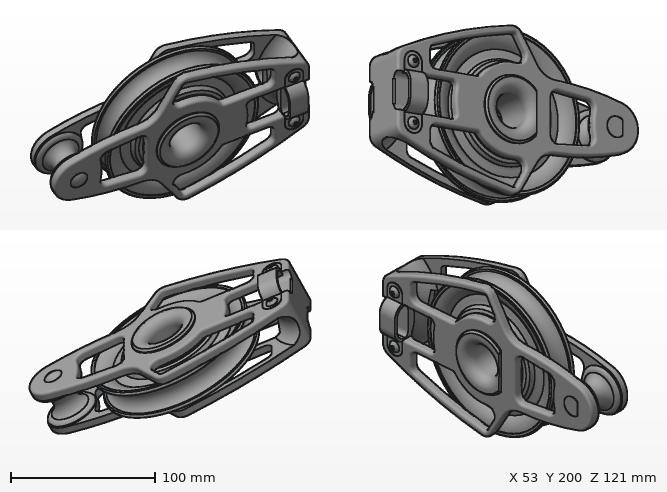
import cadquery as cq
import math


cheek_outer = 18.5
cheek_thickness = 6.4
cheek_inner = cheek_outer - cheek_thickness
cheek_edge_round = 2.0

head_y = 96.0
waist_round = 19.0
apex_round = 9.0
head_corner_round = 9.0
tail_y = -104.0
tail_radius = 19.0
roller_y = tail_y + tail_radius

hub_radius = 34.2
window_half_height = 14.0
window_head_y = 75.8
notch_floor_x = 13.4
notch_corner_round = 5.0
notch_lip_chamfer = 1.2

sheave_radius = 59.8
sheave_half_width = 11.4
groove_half_width = 8.5
groove_mouth_radius = 57.2
groove_root_radius = 51.2
core_radius = 31.0

eyelet_bore = 25.0
eyelet_flange_radius = 24.4
eyelet_flare_radius = 20.0
eyelet_face_x = 21.0
eyelet_edge_round = 1.5
eyelet_flat_y = -17.5

roller_mouth_radius = 14.2
roller_root_radius = 9.2

saddle_root_y = 77.8
saddle_root_radius = 36.0
saddle_edge_radius = 44.8
saddle_axis_y = saddle_root_y + saddle_root_radius

strap_y = 83.4
strap_width = 14.4
overall_width = 53.0
strap_outer_x = overall_width / 2
strap_half_height = 15.8
strap_thickness = 2.4
strap_bend = 10.8
strap_root_x = 14.4
strap_foot_height = 0.3

screw_z = 22.2
screw_diameter = 9.2
screw_head_height = 3.0
socket_size = 3.0
socket_depth = 1.2

pin_head_radius = 6.5
pin_head_height = 2.5

pin_tail_radius = 7.5
pin_tail_flat_y = -90.2
pin_tail_recess = 0.2


def yz_plate(sketch, x_start, x_end):
    """Extrude a closed YZ outline between two X positions."""
    return sketch.extrude(x_end - x_start).translate((x_start, 0, 0))


def turned(profile):
    """Revolve a profile drawn as (x, radius) about the X axis."""
    return profile.close().revolve(360, (0, 0, 0), (1, 0, 0))


def dome_x(radius, height, x, y, z):
    """Spherical cap on the plane at x, bulging toward +X."""
    sphere_radius = (radius**2 + height**2) / (2 * height)
    rise = height / 2
    rise_radius = math.sqrt(sphere_radius**2 - (sphere_radius - height + rise) ** 2)
    profile = cq.Workplane("XY").moveTo(-cheek_thickness / 2, 0).lineTo(-cheek_thickness / 2, radius)
    profile = profile.lineTo(0, radius).threePointArc((rise, rise_radius), (height, 0))
    return turned(profile).translate((x, y, z))


def round_corner(body, y, z, radius):
    """Round the X-running edge closest to a YZ position."""
    middle_x = body.val().Center().x
    edge = body.edges("|X").edges(cq.selectors.NearestToPointSelector((middle_x, y, z)))
    return edge.fillet(radius)


def outline_body(x_start, x_end):
    """Solid bounded by the cheek outline between two X positions."""
    waist = (-25.5, 26.4)
    apex = (-4.4, 61.4)
    head_corner = (head_y, 30.0)
    tail_turn = math.radians(16)
    tail_half_turn = math.pi / 4 - tail_turn / 2
    tail_mid = (
        roller_y - tail_radius * math.cos(tail_half_turn),
        tail_radius * math.sin(tail_half_turn),
    )
    tail_join = (
        roller_y - tail_radius * math.sin(tail_turn),
        tail_radius * math.cos(tail_turn),
    )
    upper = cq.Workplane("YZ").moveTo(tail_y, 0).threePointArc(tail_mid, tail_join)
    upper = upper.tangentArcPoint(waist, relative=False).lineTo(*apex)
    upper = upper.threePointArc((53.2, 47.4), head_corner).lineTo(head_y, 0).close()
    body = yz_plate(upper, x_start, x_end)
    corners = ((waist, waist_round), (apex, apex_round), (head_corner, head_corner_round))
    for (y, z), corner_round in corners:
        body = round_corner(body, y, z, corner_round)
    return body.union(body.mirror("XY")).clean()


def side_window():
    """Window between the upper rim and the hub, right through both cheeks."""
    low_z = 19.8
    hub_join_y = math.sqrt(hub_radius**2 - low_z**2)
    head_low = (68.4, low_z)
    head_high = (68.4, 36.0)
    rim_corner = (-2.4, 55.8)
    arm_corner = (-14.8, hub_radius)
    hub_corner = (hub_join_y, low_z)
    diagonal = hub_radius * math.sqrt(0.5)
    window = cq.Workplane("YZ").moveTo(*head_low).lineTo(*head_high)
    window = window.threePointArc((38.8, 46.0), rim_corner)
    window = window.lineTo(*arm_corner).lineTo(0, hub_radius)
    window = window.threePointArc((diagonal, diagonal), hub_corner).close()
    body = yz_plate(window, -cheek_outer, cheek_outer)
    corners = ((head_low, 5.5), (head_high, 5.0), (rim_corner, 3.0), (arm_corner, 6.0), (hub_corner, 4.0))
    for (y, z), corner_round in corners:
        body = round_corner(body, y, z, corner_round)
    return body


def head_window():
    """Window between the hub and the strap, bowed toward the head at its hub end."""
    hub_end_y = 45.5
    bow_y = 47.8
    corner_round = 4.0
    window = cq.Workplane("YZ").moveTo(window_head_y, -window_half_height)
    window = window.lineTo(window_head_y, window_half_height).lineTo(hub_end_y, window_half_height)
    window = window.threePointArc((bow_y, 0), (hub_end_y, -window_half_height)).close()
    body = yz_plate(window, -cheek_outer, cheek_outer)
    return body.edges("|X and <Y").fillet(corner_round)


def tail_window():
    """Tapered window between the hub and the roller, bowed toward the hub at its roller end."""
    hub_end = (-31.2, 19.8)
    roller_end = (-69.0, 15.8)
    bow_y = -66.4
    corner_round = 6.0
    window = cq.Workplane("YZ").moveTo(hub_end[0], -hub_end[1]).lineTo(*hub_end).lineTo(*roller_end)
    window = window.threePointArc((bow_y, 0), (roller_end[0], -roller_end[1])).close()
    body = yz_plate(window, -cheek_outer, cheek_outer)
    return body.edges("|X").fillet(corner_round)


all_windows = [side_window(), side_window().mirror("XY"), head_window(), tail_window()]


def cheek():
    """Cheek on the +X side, with its rim and windows rounded on the outer face."""
    blank = outline_body(cheek_inner, cheek_outer)
    plate = blank
    for window in all_windows:
        windowed = blank.cut(window).faces(">X").edges().fillet(cheek_edge_round)
        plate = plate.intersect(windowed)
    return plate


def strap_notch():
    """Shallow channel under the strap, open at the head end."""
    length = head_y - window_head_y + 2
    notch = cq.Workplane("XY").box(
        2 * (cheek_outer - notch_floor_x), length, 2 * window_half_height
    ).edges("|Y and <X").fillet(notch_corner_round)
    notch = notch.translate((cheek_outer, window_head_y + length / 2, 0))
    flat_half_height = window_half_height - notch_corner_round
    lip = cq.Workplane("XY").moveTo(notch_floor_x, head_y - notch_lip_chamfer)
    lip = lip.lineTo(notch_floor_x - notch_lip_chamfer, head_y).lineTo(notch_floor_x, head_y).close()
    return notch.union(lip.extrude(flat_half_height, both=True))


right_cheek = cheek().cut(strap_notch())
cheeks = right_cheek.union(right_cheek.mirror("YZ"))


def head_saddle():
    profile = cq.Workplane("XY").lineTo(-cheek_inner, 0).lineTo(-cheek_inner, saddle_edge_radius)
    profile = profile.threePointArc((0, saddle_root_radius), (cheek_inner, saddle_edge_radius))
    profile = profile.lineTo(cheek_inner, 0)
    spool = turned(profile).translate((0, saddle_axis_y, 0))
    saddle = spool.intersect(outline_body(-cheek_inner, cheek_inner))
    for window in all_windows:
        saddle = saddle.cut(window)
    return saddle


def sheave():
    hub_steps = [(10.8, 34.0), (9.8, 36.5), (6.5, 38.4), (6.0, 40.4), (5.5, 42.8), (5.0, 45.5)]
    dish_mid = (8.8, 50.0)
    dish_edge = (10.5, 56.8)
    lip_mid_x = (sheave_half_width + groove_half_width) / 2
    lip_crown = 1.0
    lip_shoulder = sheave_radius - lip_crown

    profile = cq.Workplane("XY").moveTo(-cheek_inner, 0).lineTo(-cheek_inner, core_radius)
    profile = profile.lineTo(-hub_steps[0][0], core_radius)
    for x, radius in hub_steps:
        profile = profile.lineTo(-x, radius)
    profile = profile.threePointArc((-dish_mid[0], dish_mid[1]), (-dish_edge[0], dish_edge[1]))
    profile = profile.lineTo(-sheave_half_width, dish_edge[1])
    profile = profile.lineTo(-sheave_half_width, lip_shoulder)
    profile = profile.threePointArc((-lip_mid_x, sheave_radius), (-groove_half_width, lip_shoulder))
    profile = profile.lineTo(-groove_half_width, groove_mouth_radius)
    profile = profile.threePointArc((0, groove_root_radius), (groove_half_width, groove_mouth_radius))
    profile = profile.lineTo(groove_half_width, lip_shoulder)
    profile = profile.threePointArc((lip_mid_x, sheave_radius), (sheave_half_width, lip_shoulder))
    profile = profile.lineTo(sheave_half_width, dish_edge[1])
    profile = profile.lineTo(*dish_edge).threePointArc(dish_mid, hub_steps[-1])
    for x, radius in reversed(hub_steps[:-1]):
        profile = profile.lineTo(x, radius)
    profile = profile.lineTo(hub_steps[0][0], core_radius).lineTo(cheek_inner, core_radius)
    return turned(profile.lineTo(cheek_inner, 0))


def eyelet_flange():
    shoulder = eyelet_face_x - eyelet_edge_round
    profile = cq.Workplane("XY").moveTo(cheek_inner, 0).lineTo(cheek_inner, eyelet_flange_radius)
    profile = profile.lineTo(shoulder, eyelet_flange_radius)
    profile = profile.lineTo(eyelet_face_x, eyelet_flange_radius - eyelet_edge_round)
    profile = profile.lineTo(eyelet_face_x, 0)
    return turned(profile)


def flared_bore():
    """Straight bore opening in a quarter-round flare at each end."""
    bore_radius = eyelet_bore / 2
    flare = eyelet_flare_radius - bore_radius
    throat_x = eyelet_face_x - flare
    diagonal = flare * math.sqrt(0.5)
    profile = cq.Workplane("XY").moveTo(-eyelet_face_x, 0).lineTo(-eyelet_face_x, eyelet_flare_radius)
    profile = profile.threePointArc(
        (-throat_x - diagonal, eyelet_flare_radius - diagonal), (-throat_x, bore_radius)
    )
    profile = profile.lineTo(throat_x, bore_radius)
    profile = profile.threePointArc(
        (throat_x + diagonal, eyelet_flare_radius - diagonal), (eyelet_face_x, eyelet_flare_radius)
    )
    return turned(profile.lineTo(eyelet_face_x, 0))


def flatted_eyelet():
    """The -X flange is trimmed to a flat on its tail side."""
    size = 2 * eyelet_flange_radius
    keep = cq.Workplane("XY").box(2 * size, size, size).translate((0, eyelet_flat_y + size / 2, 0))
    return eyelet_flange().mirror("YZ").intersect(keep)


def tail_roller():
    rim_x = cheek_inner - 1.0
    rim_radius = tail_radius - 0.4
    side_radius = rim_radius - 0.8
    shoulder_x = 9.4
    shoulder_radius = 17.0
    profile = cq.Workplane("XY").moveTo(-cheek_inner, 0).lineTo(-cheek_inner, side_radius)
    profile = profile.lineTo(-rim_x, rim_radius)
    profile = profile.threePointArc(
        (-shoulder_x, shoulder_radius), (-groove_half_width, roller_mouth_radius)
    )
    profile = profile.threePointArc((0, roller_root_radius), (groove_half_width, roller_mouth_radius))
    profile = profile.threePointArc((shoulder_x, shoulder_radius), (rim_x, rim_radius))
    profile = profile.lineTo(cheek_inner, side_radius).lineTo(cheek_inner, 0)
    return turned(profile).translate((0, roller_y, 0))


def pin_tail_recess_body():
    """D-shaped end of the roller pin, set just below the -X cheek face."""
    keep_length = 2 * pin_tail_radius
    disc = cq.Workplane("YZ").circle(pin_tail_radius).extrude(pin_tail_recess)
    disc = disc.translate((-cheek_outer, roller_y, 0))
    keep = cq.Workplane("XY").box(4 * cheek_outer, keep_length, keep_length)
    return disc.intersect(keep.translate((0, pin_tail_flat_y + keep_length / 2, 0)))


def strap_section(outer_x, half_z, bend):
    """Block with two rounded outer corners, spanning the strap width."""
    length = outer_x - strap_root_x
    block = cq.Workplane("XY").box(length, strap_width, 2 * half_z)
    block = block.edges("|Y and >X").fillet(bend)
    return block.translate((strap_root_x + length / 2, strap_y, 0))


def strap():
    """Loop standing out from the cheek, open toward it."""
    outside = strap_section(strap_outer_x, strap_half_height, strap_bend)
    inside = strap_section(
        strap_outer_x - strap_thickness,
        strap_half_height - strap_thickness,
        strap_bend - strap_thickness,
    )
    return outside.cut(inside)


def strap_feet():
    """Two thin round-ended feet that hold the loop under the screws."""
    feet_length = 2 * screw_z + strap_width
    feet = cq.Workplane("YZ").slot2D(feet_length, strap_width, 90)
    feet = feet.extrude(cheek_outer + strap_foot_height - cheek_inner)
    opening = cq.Workplane("XY").box(2 * cheek_outer, 2 * strap_width, 2 * window_half_height)
    return feet.cut(opening).translate((cheek_inner, strap_y, 0))


def strap_screw(z):
    """Domed screw head with a hexagon socket."""
    head = dome_x(screw_diameter / 2, screw_head_height, cheek_outer, strap_y, z)
    socket = cq.Workplane("YZ").polygon(6, socket_size).extrude(screw_head_height)
    socket_floor = cheek_outer + screw_head_height - socket_depth
    return head.cut(socket.translate((socket_floor, strap_y, z)))


strap_side = strap().union(strap_feet())
for z in (-screw_z, screw_z):
    strap_side = strap_side.union(strap_screw(z))

result = cheeks.union(head_saddle()).union(sheave()).union(tail_roller())
result = result.union(eyelet_flange()).union(flatted_eyelet()).cut(flared_bore())
result = result.union(strap_side).union(strap_side.mirror("YZ"))
result = result.union(dome_x(pin_head_radius, pin_head_height, cheek_outer, roller_y, 0))
result = result.cut(pin_tail_recess_body())